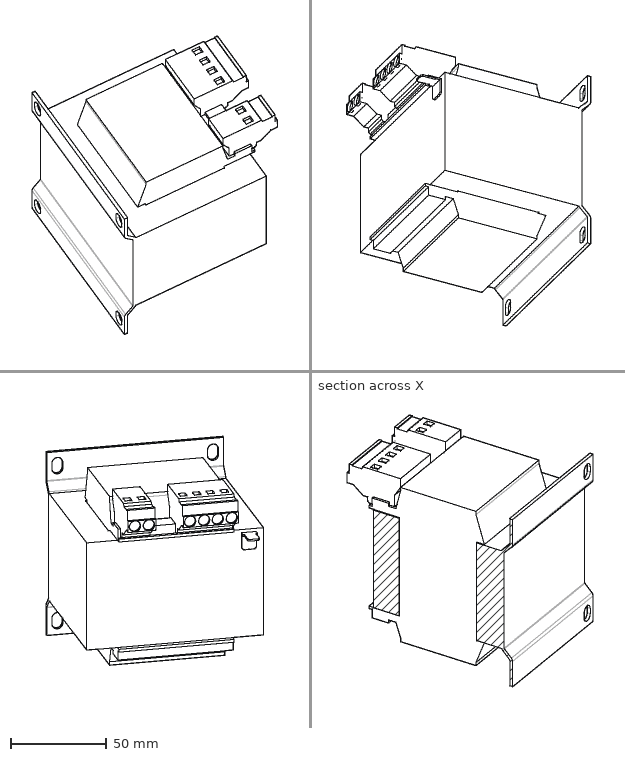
import cadquery as cq
import math


WIDTH = 96.0
DEPTH = 104.0
HEIGHT = 104.0

PLATE_HEIGHT = 102.2
SHEET = 2.0
INNER_BEND = 0.5
OUTER_BEND = INNER_BEND + SHEET
BEND_ANGLE = math.radians(45)
FOOT_FLAT = 15.6
PLATE_SETBACK = 5.2
SLOT_WIDTH = 5.8
SLOT_LENGTH = 9.1
SLOT_X = 42.2
SLOT_EDGE = 7.8

MID_Z = PLATE_HEIGHT / 2
CORE_HEIGHT = 59.9
CORE_FRONT = 6.6
CORE_BACK = 86.6
CORE_TOP = MID_Z + CORE_HEIGHT / 2
WINDOW_WIDTH = 64.5
WINDOW_FRONT = 22.5
WINDOW_BACK = 70.4

BOBBIN_WIDTH = 62.6
HOOD_UP = 18.6
HOOD_DOWN = 15.7
HOOD_RIM = 2.0
HOOD_BASE_FRONT = 17.9
HOOD_FRONT = 23.1
HOOD_BACK = 69.8
SHELF_FRONT = 72.8
SHELF = 4.8
RAIL = 6.7
RAIL_FRONT = 77.4
RAIL_BACK = 87.5
LIP = 1.6
LIP_BACK = 89.5

BLOCK_WIDTH = 15.0
BLOCK_CENTRES = (-1.5 * BLOCK_WIDTH, -0.5 * BLOCK_WIDTH, 1.5 * BLOCK_WIDTH)
POLE_PITCH = 7.6
POCKET_WIDTH = 3.6
POCKET_LENGTH = 4.4
POCKET_Y = 88.2
POCKET_DEPTH = 2.1
BLOCK_FRONT = 70.8
BLOCK_BACK = 102.6
FRONT_FACE_BOTTOM = 98.7
GROOVE_FRONT = 94.9
GROOVE_SLOPE = 0.7
GROOVE_BACK = 100.8
GROOVE_FLOOR = 102.6
REAR_RIM_TOP = 103.1
NOSE_TOP = 97.4
NOSE_BOTTOM = 91.3
NOSE_ROOT = 100.0
BELLY_BACK = 94.0
BELLY_BOTTOM = 86.5
CLIP_FRONT = 74.5
CLIP_SHOULDER = 92.7
CLIP_BACK = 91.3
CLIP_BOTTOM = 83.0
CLIP_CHAMFER = 1.0
WIRE_ENTRY_DIAMETER = 6.0
WIRE_ENTRY_BREAKOUT = 0.01

TAB_X = -40.0
TAB_SHEET = 0.9
TAB_TOP = 79.3
TAB_BOTTOM = 69.9
TAB_BASE_WIDTH = 8.0
TAB_BASE_BACK = 89.9
TAB_WIDTH = 6.3
TAB_BACK = 97.9
TAB_CHAMFER = 0.9


def box_between(x0, x1, y0, y1, z0, z1):
    """Axis-aligned box from its six limits."""
    return cq.Workplane("XY").box(x1 - x0, y1 - y0, z1 - z0, centered=False).translate((x0, y0, z0))


def extrude_across(outline, width, x_centre=0.0):
    """Extrude a closed (Y, Z) outline along X, centred on x_centre."""
    return outline.extrude(width / 2, both=True).translate((x_centre, 0, 0))


def mounting_foot():
    """Lower half of the mounting plate: flat foot, 45 degree joggle, then the flat web."""
    half = BEND_ANGLE / 2
    cos_bend = math.cos(BEND_ANGLE)
    run = PLATE_SETBACK - (OUTER_BEND + INNER_BEND) * (1 - cos_bend)
    foot_centre = (OUTER_BEND, FOOT_FLAT)
    web_z = FOOT_FLAT + (OUTER_BEND + INNER_BEND) * math.sin(BEND_ANGLE) + run
    web_centre = (PLATE_SETBACK - INNER_BEND, web_z)

    def on_foot_bend(radius, angle):
        return (foot_centre[0] - radius * math.cos(angle), foot_centre[1] + radius * math.sin(angle))

    def on_web_bend(radius, angle):
        return (web_centre[0] + radius * math.cos(angle), web_centre[1] - radius * math.sin(angle))

    outline = (
        cq.Workplane("YZ")
        .moveTo(0, 0)
        .lineTo(0, FOOT_FLAT)
        .threePointArc(on_foot_bend(OUTER_BEND, half), on_foot_bend(OUTER_BEND, BEND_ANGLE))
        .lineTo(*on_web_bend(INNER_BEND, BEND_ANGLE))
        .threePointArc(on_web_bend(INNER_BEND, half), on_web_bend(INNER_BEND, 0))
        .lineTo(PLATE_SETBACK, MID_Z)
        .lineTo(PLATE_SETBACK + SHEET, MID_Z)
        .lineTo(*on_web_bend(OUTER_BEND, 0))
        .threePointArc(on_web_bend(OUTER_BEND, half), on_web_bend(OUTER_BEND, BEND_ANGLE))
        .lineTo(*on_foot_bend(INNER_BEND, BEND_ANGLE))
        .threePointArc(on_foot_bend(INNER_BEND, half), on_foot_bend(INNER_BEND, 0))
        .lineTo(SHEET, 0)
        .close()
    )
    foot = extrude_across(outline, WIDTH)
    slots = (
        cq.Workplane("XZ")
        .pushPoints([(-SLOT_X, SLOT_EDGE), (SLOT_X, SLOT_EDGE)])
        .slot2D(SLOT_LENGTH, SLOT_WIDTH, 90)
        .extrude(-SHEET)
    )
    return foot.cut(slots)


def mirror_about_middle(body):
    """Mirror a body top to bottom about the middle of the core."""
    return body.mirror("XY", (0, 0, MID_Z))


def core():
    """Laminated core block with its winding window."""
    half = CORE_HEIGHT / 2
    block = box_between(-WIDTH / 2, WIDTH / 2, CORE_FRONT, CORE_BACK, MID_Z - half, MID_Z + half)
    window = box_between(
        -WINDOW_WIDTH / 2, WINDOW_WIDTH / 2, WINDOW_FRONT, WINDOW_BACK, MID_Z - half, MID_Z + half
    )
    return block.cut(window)


def upper_bobbin(hood_height):
    """Bobbin from the middle of the core up: winding, hood, rail for the terminals and lip."""
    top = CORE_TOP + hood_height
    winding = box_between(
        -BOBBIN_WIDTH / 2, BOBBIN_WIDTH / 2, WINDOW_FRONT, WINDOW_BACK, MID_Z, CORE_TOP
    )
    outline = cq.Workplane("YZ").polyline([
        (HOOD_BASE_FRONT, CORE_TOP),
        (HOOD_FRONT, top - HOOD_RIM),
        (HOOD_FRONT, top),
        (HOOD_BACK, top),
        (HOOD_BACK, top - HOOD_RIM),
        (SHELF_FRONT, CORE_TOP + SHELF),
        (RAIL_FRONT, CORE_TOP + SHELF),
        (RAIL_FRONT, CORE_TOP + RAIL),
        (RAIL_BACK, CORE_TOP + RAIL),
        (RAIL_BACK, CORE_TOP + LIP),
        (LIP_BACK, CORE_TOP + LIP),
        (LIP_BACK, CORE_TOP),
    ]).close()
    return winding.union(extrude_across(outline, BOBBIN_WIDTH))


def terminal_block(x_centre):
    """Two-pole terminal block clipped over the bobbin rail."""
    outline = cq.Workplane("YZ").polyline([
        (BLOCK_FRONT, HEIGHT),
        (GROOVE_FRONT - GROOVE_SLOPE, HEIGHT),
        (GROOVE_FRONT, GROOVE_FLOOR),
        (GROOVE_BACK, GROOVE_FLOOR),
        (GROOVE_BACK, REAR_RIM_TOP),
        (BLOCK_BACK, REAR_RIM_TOP),
        (BLOCK_BACK, NOSE_TOP),
        (DEPTH, NOSE_TOP),
        (DEPTH, NOSE_BOTTOM),
        (NOSE_ROOT, NOSE_BOTTOM),
        (BELLY_BACK, BELLY_BOTTOM),
        (CLIP_BACK, BELLY_BOTTOM),
        (CLIP_BACK, CLIP_BOTTOM + CLIP_CHAMFER),
        (CLIP_BACK - CLIP_CHAMFER, CLIP_BOTTOM),
        (RAIL_BACK, CLIP_BOTTOM),
        (RAIL_BACK, CORE_TOP + RAIL),
        (RAIL_FRONT, CORE_TOP + RAIL),
        (RAIL_FRONT, CORE_TOP + SHELF),
        (CLIP_FRONT, CORE_TOP + SHELF),
        (CLIP_FRONT, CLIP_SHOULDER),
        (BLOCK_FRONT, FRONT_FACE_BOTTOM),
    ]).close()
    poles = [(-POLE_PITCH / 2, 0), (POLE_PITCH / 2, 0)]
    pockets = (
        cq.Workplane("XY", origin=(x_centre, POCKET_Y, HEIGHT))
        .pushPoints(poles)
        .rect(POCKET_WIDTH, POCKET_LENGTH)
        .extrude(-POCKET_DEPTH)
    )
    entry_z = NOSE_TOP + WIRE_ENTRY_BREAKOUT - WIRE_ENTRY_DIAMETER / 2
    wire_entries = (
        cq.Workplane("XZ", origin=(x_centre, DEPTH, entry_z))
        .pushPoints(poles)
        .circle(WIRE_ENTRY_DIAMETER / 2)
        .extrude(DEPTH - BLOCK_BACK)
    )
    return extrude_across(outline, BLOCK_WIDTH, x_centre).cut(pockets).cut(wire_entries)


def earth_tab():
    """L-shaped earth tab: leg on the back of the core and a narrower blade pointing backwards."""
    left = TAB_X - TAB_BASE_WIDTH / 2
    right = TAB_X + TAB_BASE_WIDTH / 2
    under = TAB_TOP - TAB_SHEET
    leg = box_between(left, right, CORE_BACK, CORE_BACK + TAB_SHEET, TAB_BOTTOM, TAB_TOP)
    leg = leg.edges("|Y and <Z").chamfer(TAB_CHAMFER)
    base = box_between(left, right, CORE_BACK, TAB_BASE_BACK, under, TAB_TOP)
    blade = box_between(
        TAB_X - TAB_WIDTH / 2, TAB_X + TAB_WIDTH / 2, CORE_BACK, TAB_BACK, under, TAB_TOP
    )
    blade = blade.edges("|Z and >Y").chamfer(TAB_CHAMFER)
    return leg.union(base).union(blade)


foot = mounting_foot()
result = core().union(foot).union(mirror_about_middle(foot))
result = result.union(upper_bobbin(HOOD_UP))
result = result.union(mirror_about_middle(upper_bobbin(HOOD_DOWN)))
for block_x in BLOCK_CENTRES:
    result = result.union(terminal_block(block_x))
result = result.union(earth_tab())